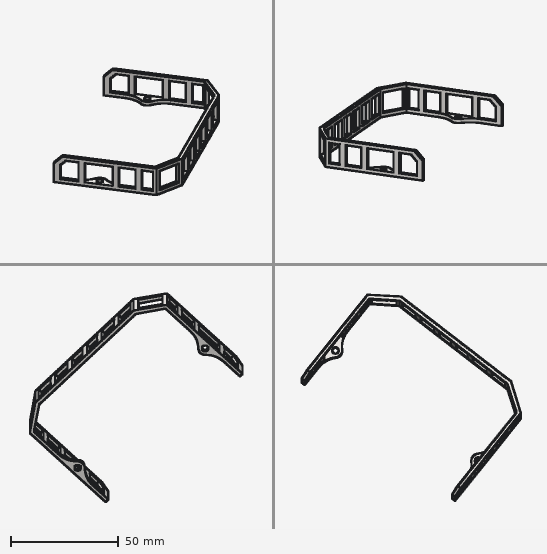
import cadquery as cq
import math

length = 58.6
width = 90.8
height = 14.0
half_width = width / 2

arm_wall = 1.8
end_wall = 2.0
rail = 2.0
bar = 3.0
window_height = height - 2 * rail

corner_run = 9.0
corner_drop = 12.8
inner_corner_shift_x = 0.9
inner_corner_shift_y = 0.6
corner_window_length = 11.5

first_window_width = 9.0
arm_window_widths = [13.4, 8.1, 5.45]
end_window_widths = [6.9, 8.1, 7.9]

tip_chamfer = 4.2
window_chamfer = 3.0

tab_x = 21.4
tab_hole_diameter = 3.0
tab_hole_inset = 3.2
tab_depth = 6.4
tab_tip_radius = 3.4
tab_blend_radius = 12.0
tab_thickness = rail

cut_margin = 0.9


def make_frame():
    corner_x = length - corner_run
    corner_y = half_width - corner_drop
    inner_x = length - end_wall
    inner_y = half_width - arm_wall
    half_outline = [
        (0, half_width),
        (corner_x, half_width),
        (length, corner_y),
        (length, 0),
        (inner_x, 0),
        (inner_x, corner_y - inner_corner_shift_y),
        (corner_x - inner_corner_shift_x, inner_y),
        (0, inner_y),
    ]
    half = cq.Workplane("XY").polyline(half_outline).close().extrude(height)
    return half.union(half.mirror("XZ"))


def window_cutter(size_x, size_y):
    return cq.Workplane("XY").box(size_x, size_y, window_height).translate((0, 0, height / 2))


def cut_tip_bevels(frame):
    bevel = (
        cq.Workplane("XZ")
        .polyline([(0, height), (tip_chamfer, height), (0, height - tip_chamfer)])
        .close()
        .extrude(half_width, both=True)
    )
    return frame.cut(bevel)


def cut_arm_windows(frame):
    span = width + 2 * cut_margin
    first = window_cutter(first_window_width, span).edges("|Y and <X and >Z").chamfer(window_chamfer)
    frame = frame.cut(first.translate((bar + first_window_width / 2, 0, 0)))
    start = first_window_width + 2 * bar
    for window_width in arm_window_widths:
        cutter = window_cutter(window_width, span)
        frame = frame.cut(cutter.translate((start + window_width / 2, 0, 0)))
        start += window_width + bar
    return frame


def cut_end_windows(frame):
    start = bar / 2
    for window_width in end_window_widths:
        cutter = window_cutter(2 * (end_wall + cut_margin), window_width)
        for side in (-1, 1):
            frame = frame.cut(cutter.translate((length, side * (start + window_width / 2), 0)))
        start += window_width + bar
    return frame


def cut_corner_windows(frame):
    slant = math.degrees(math.atan2(corner_drop, corner_run))
    middle_x = length - corner_run / 2
    middle_y = half_width - corner_drop / 2
    cutter = window_cutter(corner_window_length, 2 * (end_wall + cut_margin))
    for side in (-1, 1):
        turned = cutter.rotate((0, 0, 0), (0, 0, 1), -side * slant)
        frame = frame.cut(turned.translate((middle_x, side * middle_y, 0)))
    return frame


def make_tab():
    """Tab on the +Y arm: a round tip blended into the wall by two tangent arcs."""
    wall_y = half_width - arm_wall
    tip_y = half_width - tab_depth + tab_tip_radius
    blend_y = wall_y - tab_blend_radius
    center_distance = tab_tip_radius + tab_blend_radius
    half_base = math.sqrt(center_distance**2 - (tip_y - blend_y) ** 2)

    touch_x = half_base * tab_tip_radius / center_distance
    touch_y = tip_y + (blend_y - tip_y) * tab_tip_radius / center_distance

    touch_angle = math.atan2(touch_y - blend_y, half_base - touch_x)
    mid_angle = (math.pi / 2 + touch_angle) / 2
    mid_x = half_base - tab_blend_radius * math.cos(mid_angle)
    mid_y = blend_y + tab_blend_radius * math.sin(mid_angle)

    root_y = wall_y + arm_wall / 2
    tab = (
        cq.Workplane("XY")
        .moveTo(-half_base, root_y)
        .lineTo(-half_base, wall_y)
        .threePointArc((-mid_x, mid_y), (-touch_x, touch_y))
        .threePointArc((0, tip_y - tab_tip_radius), (touch_x, touch_y))
        .threePointArc((mid_x, mid_y), (half_base, wall_y))
        .lineTo(half_base, root_y)
        .close()
        .extrude(tab_thickness)
    )
    return tab.translate((tab_x, 0, 0))


def add_tabs(frame):
    tab = make_tab()
    hole = (
        cq.Workplane("XY")
        .center(tab_x, half_width - tab_hole_inset)
        .circle(tab_hole_diameter / 2)
        .extrude(tab_thickness)
    )
    frame = frame.union(tab).union(tab.mirror("XZ"))
    return frame.cut(hole).cut(hole.mirror("XZ"))


result = make_frame()
result = cut_tip_bevels(result)
result = cut_arm_windows(result)
result = cut_end_windows(result)
result = cut_corner_windows(result)
result = add_tabs(result)